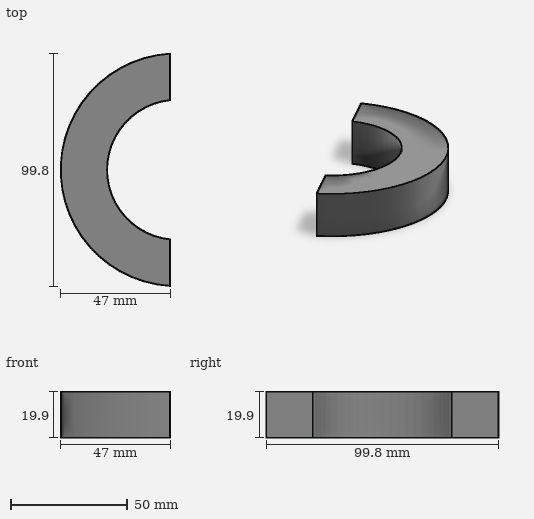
import cadquery as cq

outer_radius = 50.0
inner_radius = 30.0
height = 19.9
split_offset = 3.0


def full_ring():
    return cq.Workplane("XY").circle(outer_radius).circle(inner_radius).extrude(height)


def kept_side():
    """Block covering everything on the -X side of the end faces."""
    return cq.Workplane("XY").box(
        outer_radius, 2 * outer_radius, height, centered=(False, True, False)
    ).translate((-split_offset - outer_radius, 0, 0))


result = full_ring().intersect(kept_side())